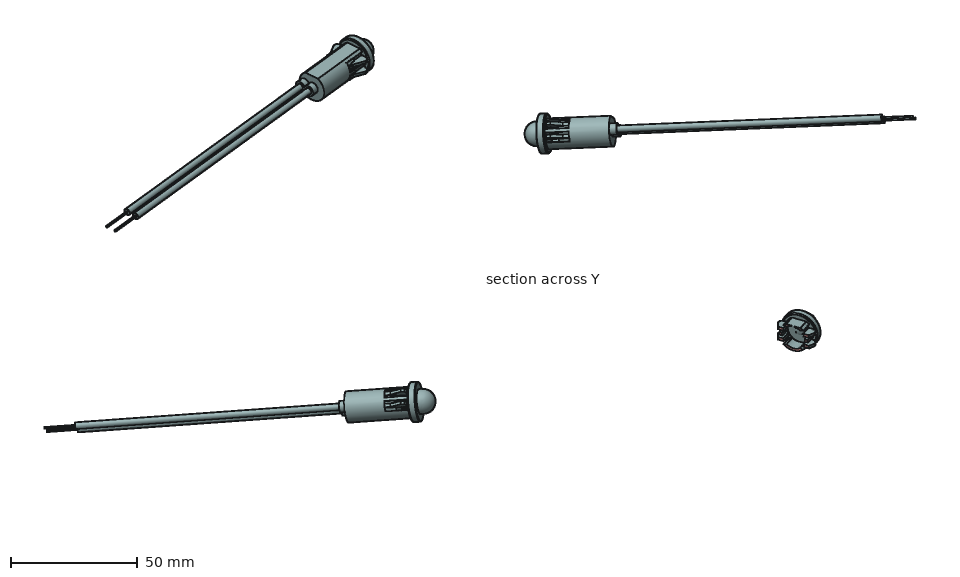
import cadquery as cq
import math

total_length = 158.39
tip_y = total_length / 2
wire_end_y = -total_length / 2

lens_radius = 5.0
lens_height = 6.4

flange_radius = 15.99 / 2
flange_thickness = 3.3
flange_back_chamfer = 0.5
flange_front_chamfer = 0.3
barrel_radius = 6.35
barrel_flat_z = 5.5
barrel_length = 25.9
cavity_depth = 5.2

flange_front_y = tip_y - lens_height
flange_back_y = flange_front_y - flange_thickness
barrel_back_y = flange_back_y - barrel_length
cavity_back_y = flange_back_y - cavity_depth

window_length = 9.6
window_low_z = 0.72
window_high_z = 4.53
window_wall_slope = 0.35
window_floor_radius = 5.7
finger_low_z = 1.6
finger_high_z = 3.2
finger_side_slope = 0.1
finger_tip_x = 16.28 / 2
finger_shoulder_x = 7.95
finger_front_x = 6.4
finger_root_x = 5.9
finger_root_thickness = 0.5
finger_inner_x = 4.4
window_back_y = flange_back_y - window_length
finger_front_y = flange_back_y - 0.4
finger_shoulder_y = flange_back_y - 1.0
finger_tip_y = flange_back_y - 2.5
finger_root_y = flange_back_y - 7.2

wire_xs = [-3.55, 0.75]
jacket_radius = 1.4
conductor_radius = 0.4
bare_length = 12.6
relief_radius = 2.35
relief_length = 2.9
jacket_end_y = wire_end_y + bare_length
relief_back_y = barrel_back_y - relief_length


def rod(radius, front_y, back_y, x=0.0):
    """A round rod along Y, from front_y back to back_y."""
    return cq.Workplane("XZ", origin=(x, front_y, 0)).circle(radius).extrude(front_y - back_y)


def make_lens():
    """A domed plug filling the hole in the flange."""
    dome_base_y = tip_y - lens_radius
    dome = cq.Workplane("XY").sphere(lens_radius).translate((0, dome_base_y, 0))
    return rod(lens_radius, dome_base_y, flange_back_y).union(dome)


def prism_along_y(points_xz):
    """A prism over the length of the windows, from its X-Z section."""
    return cq.Workplane("XZ", origin=(0, flange_back_y, 0)).polyline(points_xz).close().extrude(window_length)


def make_window_cutter():
    """The +X, +Z window: its wall farther from the middle opens outward."""
    wall_x = math.sqrt(barrel_radius**2 - window_high_z**2)
    inner_x = lens_radius / 2
    outer_x = flange_radius
    section = [
        (inner_x, window_low_z),
        (outer_x, window_low_z),
        (outer_x, window_high_z + window_wall_slope * (outer_x - wall_x)),
        (inner_x, window_high_z - window_wall_slope * (wall_x - inner_x)),
    ]
    floor = rod(window_floor_radius, cavity_back_y, window_back_y)
    return prism_along_y(section).cut(floor)


def make_finger():
    """The +X, +Z finger: it rises from the back of its window and peaks behind the flange."""
    side = (
        cq.Workplane("XY", origin=(0, 0, finger_low_z))
        .moveTo(finger_root_x - finger_root_thickness, window_back_y)
        .lineTo(finger_root_x, window_back_y)
        .lineTo(finger_root_x, finger_root_y)
        .lineTo(finger_tip_x, finger_tip_y)
        .lineTo(finger_shoulder_x, finger_shoulder_y)
        .lineTo(finger_front_x, finger_front_y)
        .lineTo(finger_inner_x, finger_front_y)
        .lineTo(finger_inner_x, cavity_back_y)
        .close()
        .extrude(finger_high_z - finger_low_z)
    )
    low_z_at_tip = finger_low_z + finger_side_slope * (finger_tip_x - finger_inner_x)
    section = [
        (finger_inner_x, finger_low_z),
        (finger_tip_x, low_z_at_tip),
        (finger_tip_x, finger_high_z),
        (finger_inner_x, finger_high_z),
    ]
    return side.intersect(prism_along_y(section))


def four_copies(feature):
    """The +X, +Z feature and its mirror images across the YZ and XY planes."""
    pair = [feature, feature.mirror("YZ")]
    return pair + [copy.mirror("XY") for copy in pair]


def make_housing():
    """Flange and flatted barrel with a blind cavity, side windows and snap fingers."""
    flange = rod(flange_radius, flange_front_y, flange_back_y)
    flange = flange.faces("<Y").edges().chamfer(flange_back_chamfer)
    flange = flange.faces(">Y").edges().chamfer(flange_front_chamfer)
    barrel = rod(barrel_radius, flange_back_y, barrel_back_y)
    above_flat = (
        cq.Workplane("XY", origin=(0, 0, barrel_flat_z))
        .rect(2 * barrel_radius, total_length)
        .extrude(barrel_radius)
    )
    housing = barrel.cut(above_flat).union(flange)
    housing = housing.cut(rod(lens_radius, flange_front_y, cavity_back_y))
    for window in four_copies(make_window_cutter()):
        housing = housing.cut(window)
    for finger in four_copies(make_finger()):
        housing = housing.union(finger)
    return housing


def make_strain_relief():
    """Two merged sleeves around the wires, standing on the back of the barrel."""
    relief = rod(relief_radius, barrel_back_y, relief_back_y, wire_xs[0])
    for x in wire_xs[1:]:
        relief = relief.union(rod(relief_radius, barrel_back_y, relief_back_y, x))
    for x in wire_xs:
        relief = relief.cut(rod(jacket_radius, barrel_back_y, relief_back_y, x))
    return relief


def make_wire(x):
    """A jacketed wire with a bare end."""
    jacket = rod(jacket_radius, barrel_back_y, jacket_end_y, x)
    return jacket.union(rod(conductor_radius, jacket_end_y, wire_end_y, x))


housing = make_housing()
lens = make_lens()
strain_relief = make_strain_relief()
wires = [make_wire(x) for x in wire_xs]

result = cq.Compound.makeCompound(
    [housing.val(), lens.val(), strain_relief.val(), *[wire.val() for wire in wires]]
)